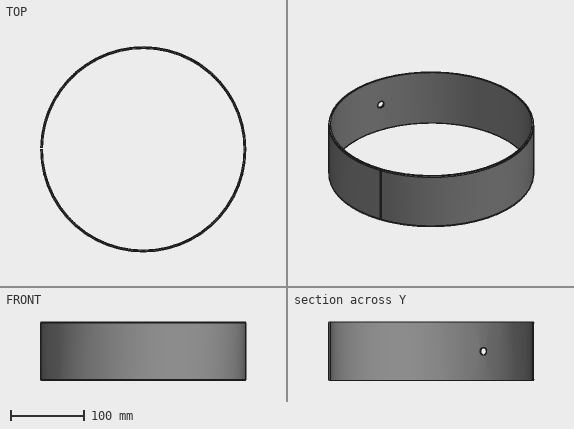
import cadquery as cq

outer_diameter = 280.0
height = 80.0
wall = 2.5
rim_chamfer_width = 0.5
rim_chamfer_height = 1.7

slit_width = 2.2

hole_diameter = 10.0
hole_angle = 59.0

outer_radius = outer_diameter / 2
inner_radius = outer_radius - wall


def make_ring():
    """Revolved wall section, with steep chamfers on both outer rims."""
    top = height / 2
    chamfer_start = top - rim_chamfer_height
    rim_radius = outer_radius - rim_chamfer_width
    section = (
        cq.Workplane("XZ")
        .moveTo(inner_radius, -top)
        .lineTo(rim_radius, -top)
        .lineTo(outer_radius, -chamfer_start)
        .lineTo(outer_radius, chamfer_start)
        .lineTo(rim_radius, top)
        .lineTo(inner_radius, top)
        .close()
    )
    return section.revolve(360, (0, 0, 0), (0, 1, 0))


def make_slit():
    """Full-height block crossing the wall at -X."""
    slit_depth = 4 * wall
    block = cq.Workplane("XY").box(slit_depth, slit_width, height)
    return block.translate((-outer_radius, slit_width / 2, 0))


def make_hole():
    """Cylinder running from the ring axis outward through the wall."""
    drill = cq.Workplane("YZ").circle(hole_diameter / 2)
    return drill.extrude(outer_diameter).rotate((0, 0, 0), (0, 0, 1), hole_angle)


result = make_ring().cut(make_slit()).cut(make_hole())